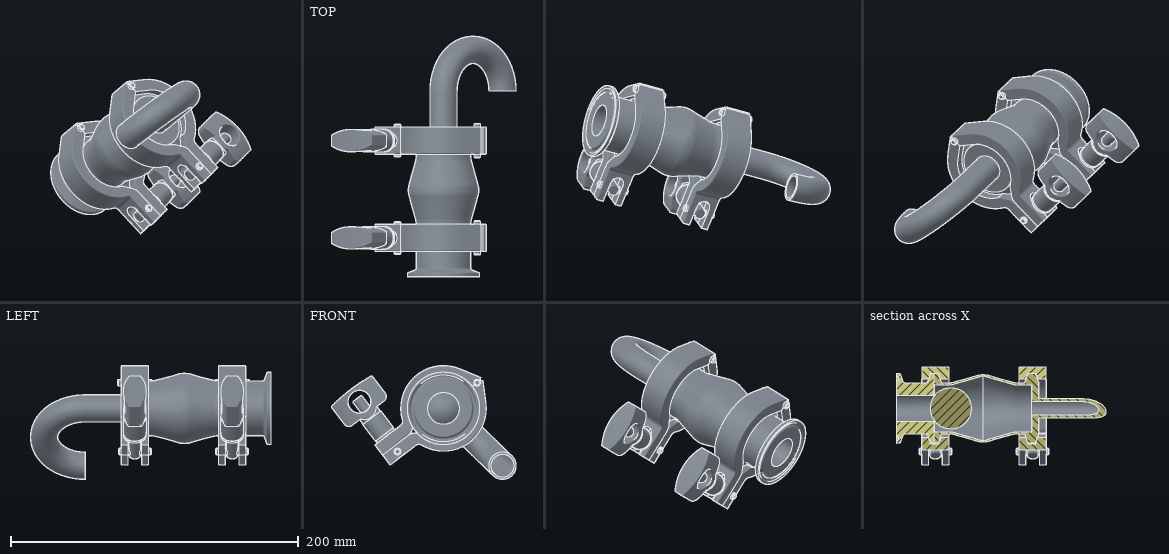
import cadquery as cq
import math


tube_radius = 38.2 / 2
tube_bore_radius = 34.8 / 2
inlet_bore_radius = 22.1 / 2
ferrule_radius = 50.4 / 2
rim_thickness = 2.8
ferrule_taper = 20.0
rim_fillet = 1.2
ferrule_foot_fillet = 1.5
seal_groove_radius = 21.8
seal_groove_section = 1.5
seal_groove_edge_fillet = 0.7

inlet_joint_y = 26.5
outlet_joint_y = 94.0

body_middle_y = (inlet_joint_y + outlet_joint_y) / 2
cone_length = 22.0
cone_peak_radius = 25.1
peak_fillet = 11.7
cone_foot_fillet = 10.0
body_wall = tube_radius - tube_bore_radius

hook_radius = 19.0 / 2
hook_bore_radius = 15.9 / 2
hook_bend_radius = 1.5 * 2 * hook_radius
hook_bend_y = 129.2
hook_angle = 44.2

ball_radius = 31.8 / 2

clamp_angle = 37.4
clamp_width = 19.0
clamp_offset = 0.7
clamp_radius = 29.8
clamp_opening_radius = 21.3
clamp_groove_radius = ferrule_radius + 0.2
hinge_tangent_angle = 30.0
hinge_x = 29.5
hinge_notch_x = 32.0
hinge_notch_half_gap = 1.3
arm_end_x = -53.4
arm_thickness = 8.79
arm_mouth_x = -30.6
mouth_bend_end = (-25.1, 2.5)
mouth_height = 7.2
arm_root_fillet = 3.3
jaw_edge_fillet = 0.8
slot_width = 9.4
slot_end_x = -34.0

pin_diameter = 4.7
pin_chamfer = 0.7
hinge_pin_length = 24.1
swing_pin_length = 23.0

screw_x = -43.6
swing_pin_z = -arm_thickness / 2
bolt_diameter = 7.9
bolt_bottom_z = -8.5
bolt_top_z = 42.0
bolt_bottom_fillet = 1.0
bolt_top_fillet = 0.5
nut_diameter = 15.2
collar_diameter = 15.9
collar_bottom_z = 10.5
collar_top_z = 25.1
wing_half_length = 17.9
wing_half_thickness = 7.9
wing_tip_half_thickness = 3.7
wing_top_z = 48.4
wing_crown = 1.3
wing_side_bottom_z = 33.8
wing_lobe_x = 14.0
wing_lobe_z = 29.1
wing_neck_x = 6.7
wing_lobe_bulge = 1.0
wing_bottom_z = 25.6
wing_edge_fillet = 0.7
wing_hole_diameter = 15.7
wing_hole_z = 39.2
wing_hole_fillet = 0.7


def revolve_about_y(points):
    """Turn an outline of (radius, y) points around the Y axis."""
    return cq.Workplane("XY").polyline(points).close().revolve(360, (0, 0, 0), (0, 1, 0))


def pick_circles(solid, radius, y):
    """Circular edges around the Y axis with the given radius and height along Y."""
    def matches(edge):
        centre = edge.Center()
        return (edge.geomType() == "CIRCLE" and abs(edge.radius() - radius) < 0.02
                and abs(centre.y - y) < 0.02)

    return solid.newObject([edge for edge in solid.edges().vals() if matches(edge)])


def cylinder_along_y(diameter, length, x, z):
    return cq.Workplane("XZ").center(x, z).circle(diameter / 2).extrude(length / 2, both=True)


def cylinder_along_z(diameter, bottom, top, x):
    return cq.Workplane("XY").workplane(offset=bottom).center(x, 0).circle(diameter / 2).extrude(top - bottom)


def taper_run(drop):
    """Length along Y in which the back of a ferrule narrows by a given radius."""
    return drop * math.tan(math.radians(ferrule_taper))


ferrule_length = rim_thickness + taper_run(ferrule_radius - tube_radius)


def make_inlet_ferrule():
    spool = revolve_about_y([
        (inlet_bore_radius, 0),
        (ferrule_radius, 0),
        (ferrule_radius, rim_thickness),
        (tube_radius, ferrule_length),
        (tube_radius, inlet_joint_y - ferrule_length),
        (ferrule_radius, inlet_joint_y - rim_thickness),
        (ferrule_radius, inlet_joint_y),
        (inlet_bore_radius, inlet_joint_y),
    ])
    for end_y, direction in ((0, 1), (inlet_joint_y, -1)):
        spool = pick_circles(spool, ferrule_radius, end_y + direction * rim_thickness).fillet(rim_fillet)
        spool = pick_circles(spool, tube_radius, end_y + direction * ferrule_length).fillet(ferrule_foot_fillet)
    seal_groove = (
        cq.Workplane("XY").center(seal_groove_radius, 0).circle(seal_groove_section)
        .revolve(360, (-seal_groove_radius, 0, 0), (-seal_groove_radius, 1, 0))
    )
    spool = spool.cut(seal_groove)
    for edge_radius in (seal_groove_radius - seal_groove_section, seal_groove_radius + seal_groove_section):
        spool = pick_circles(spool, edge_radius, 0).fillet(seal_groove_edge_fillet)
    return spool


def make_shell():
    """Ferruled, double-cone body with a cap over its outlet end."""
    foot_in_y = body_middle_y - cone_length
    foot_out_y = body_middle_y + cone_length
    shell = revolve_about_y([
        (tube_bore_radius, inlet_joint_y),
        (ferrule_radius, inlet_joint_y),
        (ferrule_radius, inlet_joint_y + rim_thickness),
        (tube_radius, inlet_joint_y + ferrule_length),
        (tube_radius, foot_in_y),
        (cone_peak_radius, body_middle_y),
        (tube_radius, foot_out_y),
        (tube_radius, outlet_joint_y - ferrule_length),
        (ferrule_radius, outlet_joint_y - rim_thickness),
        (ferrule_radius, outlet_joint_y + rim_thickness),
        (tube_radius, outlet_joint_y + ferrule_length),
        (hook_bore_radius, outlet_joint_y + ferrule_length),
        (hook_bore_radius, outlet_joint_y),
        (tube_bore_radius, outlet_joint_y),
        (tube_bore_radius, foot_out_y),
        (cone_peak_radius - body_wall, body_middle_y),
        (tube_bore_radius, foot_in_y),
    ])
    shell = pick_circles(shell, cone_peak_radius, body_middle_y).fillet(peak_fillet)
    for foot_y in (foot_in_y, foot_out_y):
        shell = pick_circles(shell, tube_radius, foot_y).fillet(cone_foot_fillet)
    return shell


def make_hook():
    """Straight tube and half-circle bend that leans away from the clamp handles."""
    start_y = outlet_joint_y + ferrule_length
    ring = cq.Workplane("XZ", origin=(0, start_y, 0)).circle(hook_radius).circle(hook_bore_radius)
    straight = ring.extrude(start_y - hook_bend_y)
    bend = (
        cq.Workplane("XZ", origin=(0, hook_bend_y, 0)).circle(hook_radius).circle(hook_bore_radius)
        .revolve(180, (hook_bend_radius, 1.7, 0), (hook_bend_radius, 0, 0))
    )
    return straight.union(bend).rotate((0, 0, 0), (0, 1, 0), hook_angle)


def make_valve_body():
    return make_shell().union(make_hook())


def make_ball():
    seat_distance = math.sqrt(ball_radius ** 2 - inlet_bore_radius ** 2)
    return cq.Workplane("XY", origin=(0, inlet_joint_y + seat_distance, 0)).sphere(ball_radius)


def make_jaw_blank():
    """Half clamp above the split plane z = 0, with the ferrule groove and the slot for the bolt."""
    tangent = math.radians(hinge_tangent_angle)
    tangent_cos = math.cos(tangent)
    tangent_sin = math.sin(tangent)
    tip_x = (clamp_radius - hinge_notch_half_gap * tangent_sin) / tangent_cos
    mouth_x = -math.sqrt(clamp_opening_radius ** 2 - mouth_height ** 2)
    root_x = -math.sqrt(clamp_radius ** 2 - arm_thickness ** 2)
    jaw = (
        cq.Workplane("XZ")
        .moveTo(arm_end_x, 0)
        .lineTo(arm_mouth_x, 0)
        .tangentArcPoint(mouth_bend_end, relative=False)
        .lineTo(mouth_x, mouth_height)
        .threePointArc(
            (0, clamp_opening_radius),
            (clamp_opening_radius * tangent_cos, clamp_opening_radius * tangent_sin),
        )
        .lineTo(clamp_opening_radius / tangent_cos, 0)
        .lineTo(hinge_notch_x, 0)
        .lineTo(tip_x, hinge_notch_half_gap)
        .lineTo(clamp_radius * tangent_cos, clamp_radius * tangent_sin)
        .threePointArc((0, clamp_radius), (root_x, arm_thickness))
        .lineTo(arm_end_x, arm_thickness)
        .close()
        .extrude(clamp_width / 2, both=True)
    )
    jaw = jaw.edges(cq.NearestToPointSelector((root_x, 0, arm_thickness))).fillet(arm_root_fillet)
    jaw = round_jaw_sides(jaw)
    return jaw.cut(make_ferrule_groove()).cut(make_bolt_slot())


def round_jaw_sides(jaw):
    """Round the side edges of a jaw, except at the arm end, the hinge and the opening."""
    def is_rounded(edge):
        centre = edge.Center()
        at_arm_end = centre.x < arm_end_x + 0.02
        at_hinge = centre.x > clamp_opening_radius and centre.z < 1.7
        at_opening = centre.x > arm_mouth_x / 2 and math.hypot(centre.x, centre.z) < clamp_opening_radius + 1.7
        return not (at_arm_end or at_hinge or at_opening)

    side_edges = jaw.faces("<Y or >Y").edges().vals()
    return jaw.newObject([edge for edge in side_edges if is_rounded(edge)]).fillet(jaw_edge_fillet)


def make_ferrule_groove():
    """Room for a pair of ferrules, with walls on their tapered backs."""
    inner_half_width = rim_thickness + taper_run(ferrule_radius - tube_radius)
    root_half_width = rim_thickness + taper_run(ferrule_radius - clamp_groove_radius)
    groove = revolve_about_y([
        (0, -inner_half_width),
        (tube_radius, -inner_half_width),
        (clamp_groove_radius, -root_half_width),
        (clamp_groove_radius, root_half_width),
        (tube_radius, inner_half_width),
        (0, inner_half_width),
    ])
    return groove.translate((0, -clamp_offset, 0))


def make_bolt_slot():
    """Round-ended slot that is open at the end of the arm."""
    round_x = slot_end_x - slot_width / 2
    slot_length = round_x - arm_end_x
    round_end = cylinder_along_z(slot_width, -arm_thickness, arm_thickness, round_x)
    straight = cq.Workplane("XY").box(slot_length, slot_width, 2 * arm_thickness)
    return round_end.union(straight.translate((round_x - slot_length / 2, 0, 0)))


def make_pin(length, x, z):
    return cylinder_along_y(pin_diameter, length, x, z).faces("<Y or >Y").chamfer(pin_chamfer)


def make_upper_jaw():
    hinge_hole = cylinder_along_y(pin_diameter, clamp_width, hinge_x, 0)
    return make_jaw_blank().cut(hinge_hole)


def make_lower_jaw():
    """Mirrored jaw that carries the hinge pin and holds the swing pin of the screw."""
    swing_hole = cylinder_along_y(pin_diameter, clamp_width, screw_x, swing_pin_z)
    jaw = make_jaw_blank().mirror("XY").cut(swing_hole)
    return jaw.union(make_pin(hinge_pin_length, hinge_x, 0))


def make_wing():
    """Lens-shaped handle with a crowned top, rounded lower lobes and a round window."""
    lobe_mid_x = (wing_half_length + wing_lobe_x) / 2 + wing_lobe_bulge
    lobe_mid_z = (wing_side_bottom_z + wing_lobe_z) / 2 - wing_lobe_bulge
    outline = (
        cq.Workplane("XZ").center(screw_x, 0)
        .moveTo(-wing_half_length, wing_top_z)
        .threePointArc((0, wing_top_z + wing_crown), (wing_half_length, wing_top_z))
        .lineTo(wing_half_length, wing_side_bottom_z)
        .threePointArc((lobe_mid_x, lobe_mid_z), (wing_lobe_x, wing_lobe_z))
        .lineTo(wing_neck_x, wing_lobe_z)
        .threePointArc((0, wing_bottom_z), (-wing_neck_x, wing_lobe_z))
        .lineTo(-wing_lobe_x, wing_lobe_z)
        .threePointArc((-lobe_mid_x, lobe_mid_z), (-wing_half_length, wing_side_bottom_z))
        .close()
        .extrude(wing_half_thickness, both=True)
    )
    lens = (
        cq.Workplane("XY").center(screw_x, 0)
        .moveTo(-wing_half_length, -wing_tip_half_thickness)
        .threePointArc((0, -wing_half_thickness), (wing_half_length, -wing_tip_half_thickness))
        .lineTo(wing_half_length, wing_tip_half_thickness)
        .threePointArc((0, wing_half_thickness), (-wing_half_length, wing_tip_half_thickness))
        .close()
        .extrude(wing_top_z + 2 * wing_crown)
    )
    wing = outline.intersect(lens).edges().fillet(wing_edge_fillet)
    wing = wing.cut(cylinder_along_y(wing_hole_diameter, clamp_width, screw_x, wing_hole_z))
    return wing.edges(cq.selectors.BoxSelector(*window_box())).fillet(wing_hole_fillet)


def window_box():
    """Opposite corners of a box that holds the edges of the window alone."""
    reach = wing_hole_diameter / 4
    return (
        (screw_x - reach, -clamp_width, wing_hole_z - reach),
        (screw_x + reach, clamp_width, wing_hole_z + reach),
    )


def make_wing_screw():
    """Wing nut together with its bolt and the pin on which the bolt swings."""
    nut = cylinder_along_z(nut_diameter, arm_thickness, wing_hole_z, screw_x)
    collar = cylinder_along_z(collar_diameter, collar_bottom_z, collar_top_z, screw_x)
    window = cylinder_along_y(wing_hole_diameter, 2 * collar_diameter, screw_x, wing_hole_z)
    bolt = cylinder_along_z(bolt_diameter, bolt_bottom_z, bolt_top_z, screw_x)
    bolt = bolt.faces("<Z").edges().fillet(bolt_bottom_fillet)
    bolt = bolt.faces(">Z").edges().fillet(bolt_top_fillet)
    swing_pin = make_pin(swing_pin_length, screw_x, swing_pin_z)
    return make_wing().union(nut).union(collar).cut(window).union(bolt).union(swing_pin)


def place_in_clamp(body, joint_y):
    """Turn a clamp body from its own frame to its place around a joint."""
    return body.rotate((0, 0, 0), (0, 1, 0), -clamp_angle).translate((0, joint_y + clamp_offset, 0))


inlet_ferrule = make_inlet_ferrule()
valve_body = make_valve_body()
ball = make_ball()
clamp_bodies = []
for joint_y in (inlet_joint_y, outlet_joint_y):
    for make_body in (make_upper_jaw, make_lower_jaw, make_wing_screw):
        clamp_bodies.append(place_in_clamp(make_body(), joint_y).val())

result = cq.Compound.makeCompound([inlet_ferrule.val(), valve_body.val(), ball.val(), *clamp_bodies])